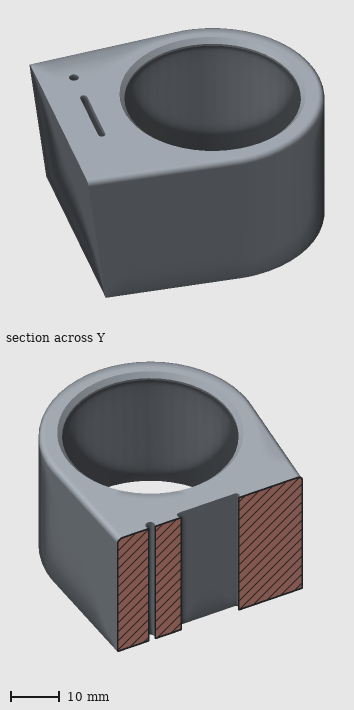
import cadquery as cq
import math

length = 55.7
height = 30.5
ring_radius = 22.85
ring_center_y = length - ring_radius
front_half_width = 20.95
blend_radius = 20.0
blend_start_angle = 6.5
front_slope_angle = 7.0
top_round_radius = 1.3

lip_diameter = 36.05
lip_chamfer = 1.0
lip_land_height = 0.5
bore_diameter = 40.0

openings_y = 7.3
slot_length = 14.25
slot_width = 1.5
pin_hole_diameter = 2.0
pin_hole_x = -13.35


def point_on_circle(center, radius, angle):
    """Point at the given angle in radians."""
    return (center[0] + radius * math.cos(angle), center[1] + radius * math.sin(angle))


def mirrored(point):
    """The same point on the -X side."""
    return (-point[0], point[1])


def make_outline_prism():
    """Vertical prism: ring arc, tangent blend arcs and two converging flanks."""
    front_corner = (front_half_width, 0)
    start_angle = math.radians(blend_start_angle)
    blend_center = point_on_circle((0, ring_center_y), ring_radius - blend_radius, start_angle)

    corner_dx = front_corner[0] - blend_center[0]
    corner_dy = front_corner[1] - blend_center[1]
    corner_distance = math.hypot(corner_dx, corner_dy)
    end_angle = math.atan2(corner_dy, corner_dx) + math.acos(blend_radius / corner_distance)

    blend_start = point_on_circle(blend_center, blend_radius, start_angle)
    blend_middle = point_on_circle(blend_center, blend_radius, (start_angle + end_angle) / 2)
    blend_end = point_on_circle(blend_center, blend_radius, end_angle)
    return (
        cq.Workplane("XY")
        .moveTo(*mirrored(front_corner))
        .lineTo(*front_corner)
        .lineTo(*blend_end)
        .threePointArc(blend_middle, blend_start)
        .threePointArc((0, length), mirrored(blend_start))
        .threePointArc(mirrored(blend_middle), mirrored(blend_end))
        .close()
        .extrude(height)
    )


def round_top_rim(body):
    """Round the top edge along the ring and flanks, leaving the front edge sharp."""
    return body.faces(">Z").edges("not <Y").fillet(top_round_radius)


def make_front_wedge():
    """Material removed so the front face leans back toward the base."""
    base_setback = height * math.tan(math.radians(front_slope_angle))
    return (
        cq.Workplane("YZ")
        .polyline([(0, height), (0, 0), (base_setback, 0)])
        .close()
        .extrude(ring_radius, both=True)
    )


def make_bore():
    """Revolved half-profile of the wide bore, the lip land and the chamfered mouth."""
    bore_radius = bore_diameter / 2
    lip_radius = lip_diameter / 2
    chamfer_base_z = height - lip_chamfer
    lip_base_z = chamfer_base_z - lip_land_height
    return (
        cq.Workplane("XZ", origin=(0, ring_center_y, 0))
        .moveTo(0, 0)
        .lineTo(bore_radius, 0)
        .lineTo(bore_radius, lip_base_z)
        .lineTo(lip_radius, lip_base_z)
        .lineTo(lip_radius, chamfer_base_z)
        .lineTo(lip_radius + lip_chamfer, height)
        .lineTo(0, height)
        .close()
        .revolve(360, (0, 0, 0), (0, 1, 0))
    )


def make_openings():
    """Vertical through slot and round hole."""
    slot = cq.Workplane("XY").center(0, openings_y).slot2D(slot_length, slot_width).extrude(height)
    pin_hole = (
        cq.Workplane("XY")
        .center(pin_hole_x, openings_y)
        .circle(pin_hole_diameter / 2)
        .extrude(height)
    )
    return slot.union(pin_hole)


body = round_top_rim(make_outline_prism())
result = body.cut(make_front_wedge()).cut(make_bore()).cut(make_openings())